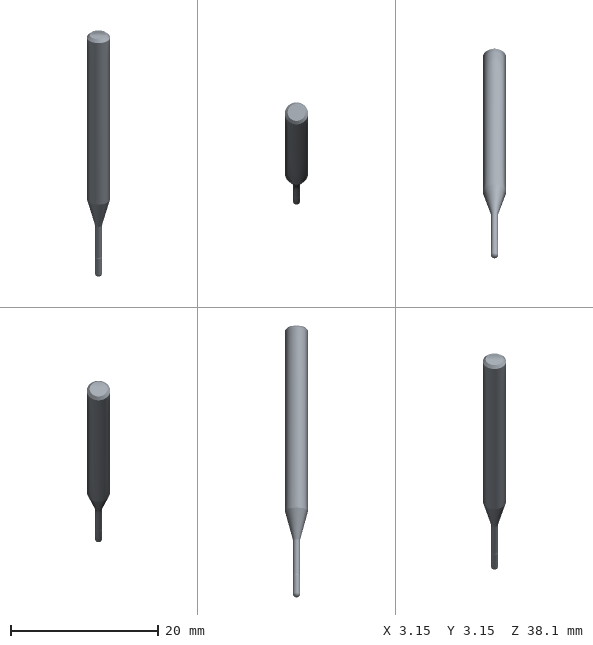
import cadquery as cq

total_length = 38.1
shank_diameter = 3.15
end_chamfer = 0.4
taper_top = 12.23
neck_top = 8.15
cutter_length = 3.0
cutter_diameter = 1.0
neck_relief = 0.025
relief_length = 0.1

shank_radius = shank_diameter / 2
cutter_radius = cutter_diameter / 2
neck_radius = cutter_radius - neck_relief


def make_cutter():
    """Cutting head: a cylinder with a hemispherical tip."""
    ball_height = cutter_radius
    arc_offset = cutter_radius * 0.5 ** 0.5
    return (
        cq.Workplane("XZ")
        .moveTo(0, 0)
        .threePointArc((arc_offset, ball_height - arc_offset), (cutter_radius, ball_height))
        .lineTo(cutter_radius, cutter_length)
        .lineTo(0, cutter_length)
        .close()
        .revolve(360, (0, 0, 0), (0, 1, 0))
    )


def make_shank():
    """Shank with a chamfered end, a taper and a relieved neck that meets the cutter."""
    return (
        cq.Workplane("XZ")
        .moveTo(0, cutter_length)
        .lineTo(cutter_radius, cutter_length)
        .lineTo(neck_radius, cutter_length + relief_length)
        .lineTo(neck_radius, neck_top - relief_length)
        .lineTo(cutter_radius, neck_top)
        .lineTo(shank_radius, taper_top)
        .lineTo(shank_radius, total_length - end_chamfer)
        .lineTo(shank_radius - end_chamfer, total_length)
        .lineTo(0, total_length)
        .close()
        .revolve(360, (0, 0, 0), (0, 1, 0))
    )


cutter = make_cutter()
shank = make_shank()

result = cq.Compound.makeCompound([cutter.val(), shank.val()])